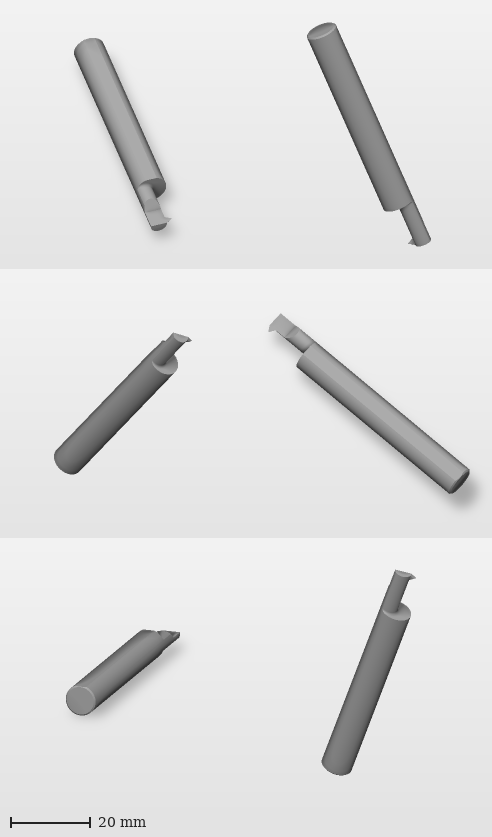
import cadquery as cq

total_length = 63.5
shank_length = 51.3
shank_diameter = 7.95
flat_height = 3.7
end_chamfer = 0.4

neck_radius = 2.2
neck_offset = 2.0
neck_fillet = 0.6

land_start = 58.55

tooth_tip_y = 1.9
tooth_width = 2.05
tooth_relief = 30.0
tooth_thickness = 0.65

shank_radius = shank_diameter / 2
neck_axis_y = -neck_offset
neck_side_y = neck_axis_y + neck_radius


def cylinder_along_x(radius, length):
    return cq.Workplane("YZ").circle(radius).extrude(length)


def make_shank():
    """Round shank with a chamfered rear end and one full-length flat on top."""
    shank = cylinder_along_x(shank_radius, shank_length).faces("<X").chamfer(end_chamfer)
    flat_cutter = (
        cq.Workplane("XY")
        .workplane(offset=flat_height)
        .rect(2 * shank_length, shank_diameter)
        .extrude(shank_radius)
    )
    return shank.cut(flat_cutter)


def make_neck():
    """Eccentric neck flared at the shoulder and trimmed to the shank diameter."""
    flare_radius = neck_radius + neck_fillet
    flare_end = shank_length + neck_fillet
    neck = (
        cq.Workplane("XY")
        .moveTo(shank_length, 0)
        .lineTo(shank_length, flare_radius)
        .radiusArc((flare_end, neck_radius), -neck_fillet)
        .lineTo(total_length, neck_radius)
        .lineTo(total_length, 0)
        .close()
        .revolve(360, (0, 0, 0), (1, 0, 0))
        .translate((0, neck_axis_y, 0))
    )
    return neck.intersect(cylinder_along_x(shank_radius, total_length))


def make_ramp_cutter():
    """Material removed above the cutting face and the 45 degree ramp."""
    rise = shank_radius
    return (
        cq.Workplane("XZ")
        .polyline([
            (land_start, 0),
            (total_length, 0),
            (total_length, rise),
            (land_start - rise, rise),
        ])
        .close()
        .extrude(shank_radius, both=True)
    )


def make_tooth():
    """Pointed thread-cutting tooth whose sides draw in below the cutting face."""
    base_start = total_length - tooth_width
    return (
        cq.Workplane("XY")
        .polyline([
            (base_start, neck_axis_y),
            (base_start, neck_side_y),
            (total_length - tooth_width / 2, tooth_tip_y),
            (total_length, neck_side_y),
            (total_length, neck_axis_y),
        ])
        .close()
        .extrude(-tooth_thickness, taper=tooth_relief)
    )


blade = make_neck().cut(make_ramp_cutter()).union(make_tooth())
result = make_shank().union(blade)